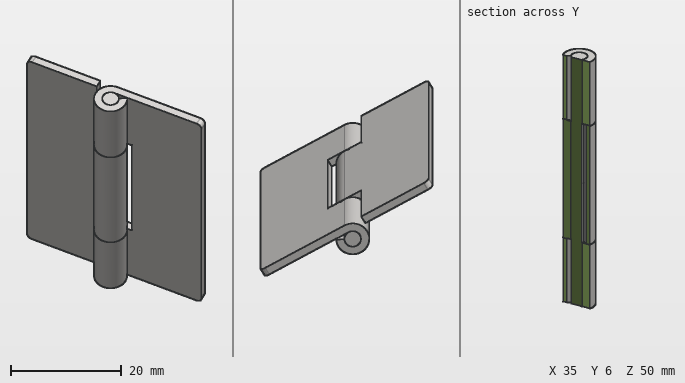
import cadquery as cq
import math

hinge_height = 50.0
hinge_width = 35.0
leaf_thickness = 1.5
pin_radius = 1.5
middle_knuckle_height = 24.0
knuckle_clearance = 0.5
corner_radius = 1.0
curl_end_angle = 27.0

knuckle_radius = pin_radius + leaf_thickness
plate_edge = knuckle_radius + knuckle_clearance
plate_width = hinge_width / 2 - plate_edge
end_knuckle_height = (hinge_height - middle_knuckle_height) / 2
end_knuckle_center = (middle_knuckle_height + end_knuckle_height) / 2


def on_circle(radius, degrees):
    """Point on a circle about the pin axis, at an angle from the X axis."""
    angle = math.radians(degrees)
    return radius * math.cos(angle), radius * math.sin(angle)


def make_plate():
    """Flat part of a leaf on the +X side, rounded at its two outer corners."""
    return (
        cq.Workplane("XY")
        .box(plate_width, leaf_thickness, hinge_height, centered=(False, False, True))
        .translate((plate_edge, pin_radius, 0))
        .edges(">X and |Y")
        .fillet(corner_radius)
    )


def make_knuckle(height, center_z):
    """Tab that leaves the plate edge and curls around the pin, stopping just below the tab."""
    curl_middle_angle = (90 + 360 + curl_end_angle) / 2
    return (
        cq.Workplane("XY")
        .moveTo(plate_edge, knuckle_radius)
        .lineTo(0, knuckle_radius)
        .threePointArc(on_circle(knuckle_radius, curl_middle_angle), on_circle(knuckle_radius, curl_end_angle))
        .lineTo(*on_circle(pin_radius, curl_end_angle))
        .threePointArc(on_circle(pin_radius, curl_middle_angle), (0, pin_radius))
        .lineTo(plate_edge, pin_radius)
        .close()
        .extrude(height / 2, both=True)
        .translate((0, 0, center_z))
    )


def make_right_leaf():
    """Leaf on the +X side with a knuckle at each end."""
    leaf = make_plate()
    for side in (-1, 1):
        leaf = leaf.union(make_knuckle(end_knuckle_height, side * end_knuckle_center))
    return leaf


def make_left_leaf():
    """Leaf on the -X side with one knuckle between those of the other leaf."""
    leaf = make_plate().union(make_knuckle(middle_knuckle_height, 0))
    return leaf.mirror("YZ")


def make_pin():
    """Plain pin, flush with the end knuckles."""
    return cq.Workplane("XY").circle(pin_radius).extrude(hinge_height / 2, both=True)


right_leaf = make_right_leaf().clean().solids()
left_leaf = make_left_leaf().clean().solids()
pin = make_pin().solids()

result = cq.Compound.makeCompound([right_leaf.val(), left_leaf.val(), pin.val()])